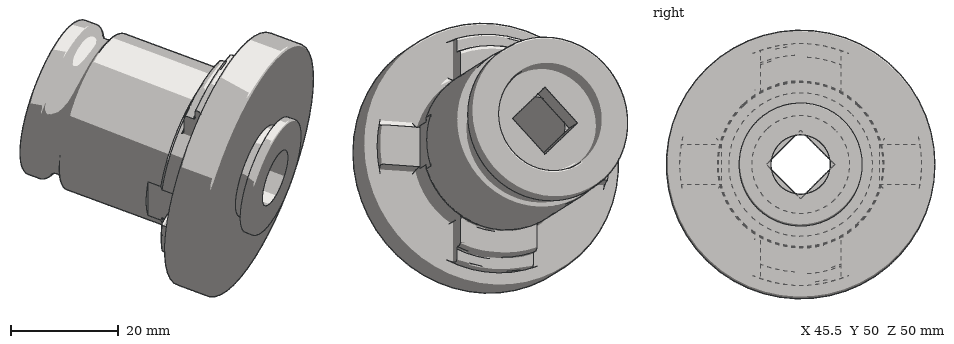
import cadquery as cq
import math

total_length = 45.5
rim_radius = 15.3
body_radius = 15.5
neck_radius = 15.25
body_end_x = 29.2

flange_radius = 25
flange_front_x = 34.45
flange_back_x = 41.65
root_fillet = 1.4

spigot_radius = 9.1
collar_radius = 11.45
collar_thickness = 1.75

groove_x = 5.65
groove_arc_radius = 2.75
groove_floor_radius = 13.35

end_round = 0.5
flange_round = 0.5
groove_round = 0.35
collar_round = 0.35

recess_radius = 10.05
recess_depth = 3.25
recess_floor_fillet = 0.6
socket_side = 9
socket_depth = 4.85
bore_radius = 5.5

lug_radius = 22.5
lug_front_x = 32.55
lug_round = 0.5
side_lug_half_width = 3.75
stepped_lug_half_width = 7.5
step_radius = 20
step_front_x = 30.25
step_round = 1
step_fillet = 0.35
foot_fillet = step_fillet

flat_distance = 14.7
flat_start_x = 26.3

DIAGONAL = math.sqrt(0.5)


def revolve_about_x(profile):
    """Revolve a profile drawn with x along the axis and y as the radius."""
    return profile.close().revolve(360, (0, 0, 0), (1, 0, 0))


def arc_about(profile, center, radius, toward, end):
    """Add a quarter arc bulging from its center in the diagonal direction (x sign, y sign)."""
    middle = (
        center[0] + toward[0] * radius * DIAGONAL,
        center[1] + toward[1] * radius * DIAGONAL,
    )
    return profile.threePointArc(middle, end)


def round_edges(solid, x, radius):
    """Round every circular edge that is centred on the axis at x."""
    gap = 0.025
    around_center = cq.selectors.BoxSelector((x - gap, -gap, -gap), (x + gap, gap, gap))
    return solid.edges(around_center).fillet(radius)


def groove_half_width(radius):
    """Half width of the round groove where it breaks out at the given radius."""
    height = groove_floor_radius + groove_arc_radius - radius
    return math.sqrt(groove_arc_radius**2 - height**2)


def turned_body():
    groove_start_x = groove_x - groove_half_width(rim_radius)
    groove_end_x = groove_x + groove_half_width(body_radius)
    collar_x = total_length - collar_thickness
    shoulder_chamfer = body_radius - neck_radius
    root_center = (flange_front_x - root_fillet, neck_radius + root_fillet)

    profile = (
        cq.Workplane("XY")
        .lineTo(0, rim_radius)
        .lineTo(groove_start_x, rim_radius)
        .threePointArc((groove_x, groove_floor_radius), (groove_end_x, body_radius))
        .lineTo(body_end_x - shoulder_chamfer, body_radius)
        .lineTo(body_end_x, neck_radius)
        .lineTo(root_center[0], neck_radius)
    )
    profile = arc_about(profile, root_center, root_fillet, (1, -1), (flange_front_x, root_center[1]))
    profile = (
        profile.lineTo(flange_front_x, flange_radius)
        .lineTo(flange_back_x, flange_radius)
        .lineTo(flange_back_x, spigot_radius)
        .lineTo(collar_x, spigot_radius)
        .lineTo(collar_x, collar_radius)
        .lineTo(total_length, collar_radius)
        .lineTo(total_length, 0)
    )
    body = revolve_about_x(profile)

    body = round_edges(body, groove_start_x, groove_round)
    body = round_edges(body, groove_end_x, groove_round)
    body = round_edges(body, total_length, collar_round)
    body = body.edges("%CIRCLE").edges(cq.selectors.RadiusNthSelector(-1)).fillet(flange_round)
    return body


def cut_bore(body):
    """Cut the round recess, the square socket standing on a corner and the hole behind it."""
    socket_end_x = recess_depth + socket_depth
    through_hole = (
        cq.Workplane("YZ", origin=(socket_end_x, 0, 0))
        .circle(bore_radius)
        .extrude(total_length - socket_end_x)
    )
    socket = (
        cq.Workplane("YZ")
        .rect(socket_side, socket_side)
        .extrude(socket_end_x)
        .rotate((0, 0, 0), (1, 0, 0), 45)
    )
    recess = cq.Workplane("YZ").circle(recess_radius).extrude(recess_depth)
    recess = recess.faces(">X").edges().fillet(recess_floor_fillet)
    body = body.cut(recess)
    body = round_edges(body, 0, end_round)
    return body.cut(socket).cut(through_hole)


def cut_flats(body):
    depth = body_radius - flat_distance
    for side in (-1, 1):
        flat = cq.Workplane("XY").box(
            lug_front_x - flat_start_x, depth, 2 * body_radius, centered=(False, True, True)
        )
        body = body.cut(flat.translate((flat_start_x, side * (flat_distance + depth / 2), 0)))
    return body


def flared_bar(half_width, front_x):
    """Bar along Z across the whole flange, with concave root fillets onto the flange face."""
    root_x = flange_front_x - root_fillet
    root_y = half_width + root_fillet
    seat_x = (flange_front_x + flange_back_x) / 2
    profile = cq.Workplane("XY").moveTo(front_x, -half_width).lineTo(front_x, half_width)
    profile = profile.lineTo(root_x, half_width)
    profile = arc_about(profile, (root_x, root_y), root_fillet, (1, -1), (flange_front_x, root_y))
    profile = profile.lineTo(seat_x, root_y).lineTo(seat_x, -root_y).lineTo(flange_front_x, -root_y)
    profile = arc_about(profile, (root_x, -root_y), root_fillet, (1, 1), (root_x, -half_width))
    return profile.close().extrude(lug_radius, both=True)


def finish_lug_envelope(profile):
    """Close a lug envelope with the rounded outer corner shared by all lugs."""
    corner = (lug_front_x + lug_round, lug_radius - lug_round)
    profile = profile.lineTo(lug_front_x, corner[1])
    profile = arc_about(profile, corner, lug_round, (-1, 1), (corner[0], lug_radius))
    profile = profile.lineTo(flange_back_x, lug_radius).lineTo(flange_back_x, 0)
    return revolve_about_x(profile)


def side_lugs():
    envelope = finish_lug_envelope(cq.Workplane("XY").moveTo(lug_front_x, 0))
    bar = flared_bar(side_lug_half_width, lug_front_x).rotate((0, 0, 0), (1, 0, 0), 90)
    return bar.intersect(envelope)


def foot_fillets(front_x):
    """Small fillets along the feet of the stepped lugs, between their flanks and the neck."""
    center_y = stepped_lug_half_width + foot_fillet
    center_radius = neck_radius + foot_fillet
    center_z = math.sqrt(center_radius**2 - center_y**2)
    length = flange_front_x - front_x
    neck_share = neck_radius / center_radius
    foot = (
        cq.Workplane("YZ", origin=(front_x, 0, 0))
        .lineTo(stepped_lug_half_width, center_z)
        .lineTo(center_y, center_z)
        .lineTo(center_y * neck_share, center_z * neck_share)
        .close()
        .extrude(length)
    )
    hollow = (
        cq.Workplane("YZ", origin=(front_x, center_y, center_z))
        .circle(foot_fillet)
        .extrude(length)
    )
    foot = foot.cut(hollow)
    pair = foot.union(foot.mirror("XZ"))
    return pair.union(pair.mirror("XY"))


def stepped_lugs():
    toe_x = step_front_x - foot_fillet
    toe_center = (toe_x, neck_radius + foot_fillet)
    corner = (step_front_x + step_round, step_radius - step_round)
    ledge_center = (lug_front_x - step_fillet, step_radius + step_fillet)

    profile = cq.Workplane("XY").moveTo(toe_x, 0).lineTo(toe_x, neck_radius)
    profile = arc_about(profile, toe_center, foot_fillet, (1, -1), (step_front_x, toe_center[1]))
    profile = profile.lineTo(step_front_x, corner[1])
    profile = arc_about(profile, corner, step_round, (-1, 1), (corner[0], step_radius))
    profile = profile.lineTo(ledge_center[0], step_radius)
    profile = arc_about(profile, ledge_center, step_fillet, (1, -1), (lug_front_x, ledge_center[1]))
    envelope = finish_lug_envelope(profile)
    bar = flared_bar(stepped_lug_half_width, toe_x)
    return bar.union(foot_fillets(toe_x)).intersect(envelope)


result = cut_flats(turned_body()).union(side_lugs()).union(stepped_lugs())
result = cut_bore(result)